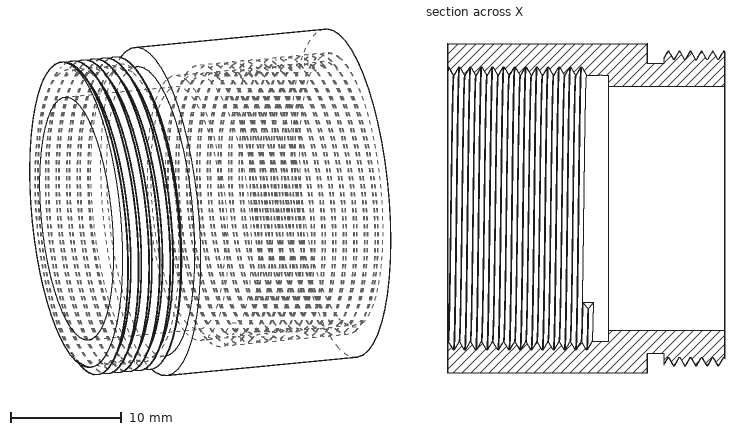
import cadquery as cq
import math

TOTAL_LENGTH = 25.0
MALE_THREAD_LENGTH = 5.5
NECK_LENGTH = 1.5
BORE_LENGTH = 10.5
BODY_START = MALE_THREAD_LENGTH + NECK_LENGTH

BODY_DIAMETER = 29.75
NECK_DIAMETER = 26.25
BORE_DIAMETER = 22.0
SOCKET_DIAMETER = 24.0
MALE_CREST_DIAMETER = 28.4

PITCH = 1.0
THREAD_DEPTH = 0.75
ROOT_GAP = 0.06
FLANK_SLOPE = math.tan(math.radians(30))
RIDGE_START_ANGLE = 45.0
MALE_RIDGE_START = -1.53
FEMALE_RIDGE_START = 12.32
RUN_OUT = 3 * PITCH
OVERLAP = 0.05
MALE_ROOT_DIAMETER = MALE_CREST_DIAMETER - 2 * THREAD_DEPTH


def cylinder(diameter, start, end):
    """Solid cylinder on the Y axis from Y = start to Y = end."""
    circle = cq.Workplane("XZ", origin=(0, start, 0)).circle(diameter / 2)
    return circle.extrude(start - end)


def helical_ridge(root_diameter, start, end):
    """Thread ridge centred at Y = start at its first end and running past Y = end."""
    root_radius = root_diameter / 2
    crest_radius = root_radius + THREAD_DEPTH
    base_radius = root_radius - OVERLAP
    root_half_width = (PITCH - ROOT_GAP) / 2
    crest_half_width = root_half_width - THREAD_DEPTH * FLANK_SLOPE
    base_half_width = root_half_width + OVERLAP * FLANK_SLOPE
    profile = [
        (base_radius, -base_half_width),
        (base_radius, base_half_width),
        (crest_radius, crest_half_width),
        (crest_radius, -crest_half_width),
    ]
    turns = math.ceil((end - start) / PITCH) + 1
    helix = cq.Workplane(cq.Wire.makeHelix(PITCH, PITCH * turns, root_radius))
    ridge = cq.Workplane("XZ").polyline(profile).close().sweep(helix, isFrenet=True)
    ridge = ridge.rotate((0, 0, 0), (1, 0, 0), -90)
    ridge = ridge.rotate((0, 0, 0), (0, 1, 0), RIDGE_START_ANGLE)
    return ridge.translate((0, start, 0))


def screw(root_diameter, core_start, ridge_start, end):
    """Threaded rod that runs on past Y = end, to be trimmed or used as a cutter."""
    core = cylinder(root_diameter, core_start, end + RUN_OUT)
    return core.union(helical_ridge(root_diameter, ridge_start, end))


def male_thread():
    rod = screw(MALE_ROOT_DIAMETER, MALE_RIDGE_START - PITCH, MALE_RIDGE_START, MALE_THREAD_LENGTH)
    return rod.intersect(cylinder(BODY_DIAMETER, 0, MALE_THREAD_LENGTH))


def threaded_socket():
    """Cavity with a plain stretch behind the bore step and a thread out to the far end."""
    return screw(SOCKET_DIAMETER, BORE_LENGTH, FEMALE_RIDGE_START, TOTAL_LENGTH)


neck = cylinder(NECK_DIAMETER, 0, BODY_START)
body = cylinder(BODY_DIAMETER, BODY_START, TOTAL_LENGTH)
bore = cylinder(BORE_DIAMETER, 0, TOTAL_LENGTH)

result = body.cut(threaded_socket()).union(neck.union(male_thread())).cut(bore)